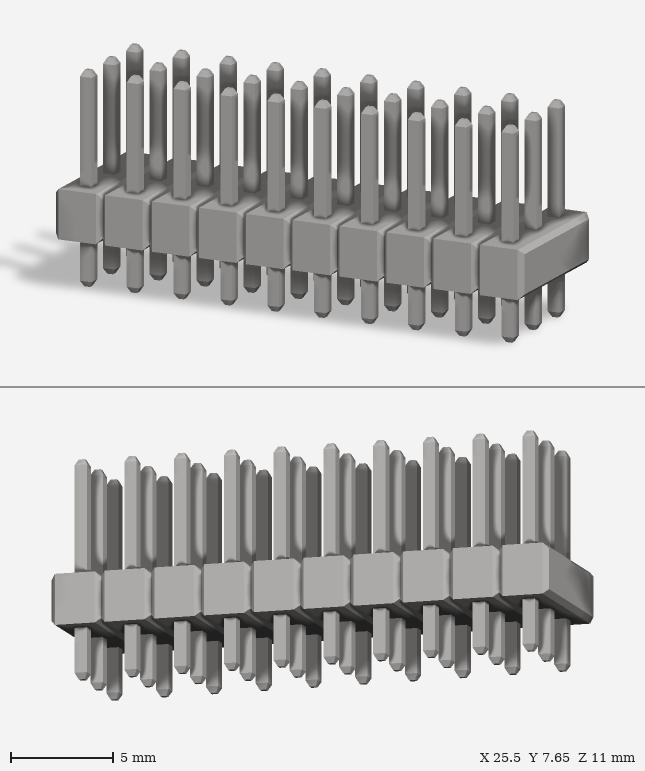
import cadquery as cq

pitch = 2.55
columns = 10
rows = 3

housing_height = pitch
housing_width = rows * pitch
housing_chamfer = 0.25

pin_side = 0.64
pin_above = 5.85
pin_below = 2.55
tip_side = 0.3
tip_height = 0.3


def make_housing_segment():
    """One column of the housing, bevelled around its two X faces, resting on Z = 0."""
    block = cq.Workplane("XY").box(pitch, housing_width, housing_height, centered=(True, True, False))
    return block.faces("<X or >X").edges().chamfer(housing_chamfer)


def make_tip():
    """A square frustum narrowing upward from Z = 0."""
    base = cq.Workplane("XY").rect(pin_side, pin_side)
    return base.workplane(offset=tip_height).rect(tip_side, tip_side).loft()


def make_pin():
    """One square pin, tapered at both ends and running through the housing."""
    shank_bottom = tip_height - pin_below
    shank_top = housing_height + pin_above - tip_height
    shank = cq.Workplane("XY").workplane(offset=shank_bottom).rect(pin_side, pin_side)
    pin = shank.extrude(shank_top - shank_bottom)
    top_tip = make_tip().translate((0, 0, shank_top))
    bottom_tip = make_tip().mirror("XY").translate((0, 0, shank_bottom))
    return pin.union(top_tip).union(bottom_tip)


def make_column():
    """One housing segment with its row of pins."""
    column = make_housing_segment()
    pin = make_pin()
    for row in range(rows):
        y = (row - (rows - 1) / 2) * pitch
        column = column.union(pin.translate((0, y, 0)))
    return column


column = make_column()
result = cq.Workplane("XY")
for index in range(columns):
    x = (index - (columns - 1) / 2) * pitch
    result = result.union(column.translate((x, 0, 0)))